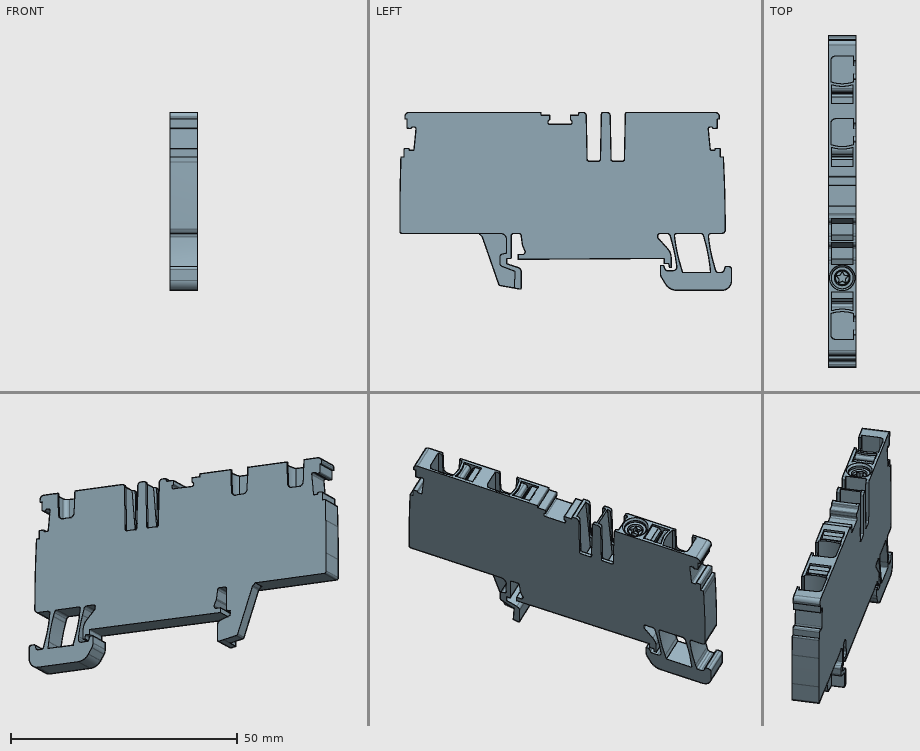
import cadquery as cq
import math


THICKNESS = 6.1
HALF_THICKNESS = THICKNESS / 2
HEIGHT = 39.4
FRONT_Y = 36.695
REAR_Y = -36.695
MID_Y = 0.8
BODY_BOTTOM = 12.58
END_FACE_RADIUS = 300
END_BEND_Z = 21.0
REAR_END_REACH = 36.1
RAIL_Z = 7.05
LEG_RADIUS = 36

SLOT_PITCH = 5.3
SLOT_COUNT = 2
SLOT_MID_Y = -6.2
SLOT_FLOOR = 28.6
SLOT_TOP_HALF = 1.66
SLOT_FLOOR_HALF = 1.44
SLOT_FLOOR_RADIUS = 0.4
SLOT_OUTER_LIP_RADIUS = 0.8
SLOT_INNER_LIP_RADIUS = 0.5
SLOT_CORE_TOP_HALF = 2.43
SLOT_CORE_FLOOR_HALF = 1.28
SLOT_CORE_DROP = 3.0
CORE_HALF_X = 2.33

TERMINAL_PITCH = 13.87
ENTRY_OUTER_Y = 32.15
ENTRY_INNER_Y = 26.42
ENTRY_BOW = 0.43
ENTRY_HALF_X = 2.54
ENTRY_CORNER = 1.1
ENTRY_DEPTH = 6.0
ENTRY_RIM = 0.57
BUTTON_INNER_Y = 21.6
BUTTON_DROP = 0.5
GAP_OUTER_Y = 31.1
GAP_INNER_Y = 27.1
GAP_DRAFT = 0.1
GAP_FLOOR_RADIUS = 1.0
GROOVE_NOSE_Y = 24.4
GROOVE_NOSE_RADIUS = 0.75
GROOVE_FLOOR_OUTER_Y = 24.1
GROOVE_FLOOR_INNER_Y = 23.8
GROOVE_KINK_Y = 23.7
GROOVE_END_Y = 23.1
GROOVE_DEPTH = 1.2
GROOVE_RAMP_DEPTH = 0.6

SCREW_Y = -16.92
SCREW_RIM_RADIUS = 2.83
SCREW_HOLE_RADIUS = 2.43
SCREW_RIM_DEPTH = 0.5
SCREW_HEAD_DEPTH = 1.0
SOCKET_RIM_RADIUS = 1.75
SOCKET_RADIUS = 1.5
SOCKET_RIM_DEPTH = 0.3
STAR_TIP_RADIUS = 1.4
STAR_ROOT_RADIUS = 0.75
STAR_POINTS = 5
STAR_DEPTH = 1.2

WEB_START_X = -0.15
WEB_OVERLAP = 0.5


def rounded_outline(corners):
    """Closed YZ wire through (y, z, radius) corners; radius 0 keeps a corner sharp."""
    stretches = []
    for i, (y, z, radius) in enumerate(corners):
        here = cq.Vector(y, z)
        to_last = (cq.Vector(*corners[i - 1][:2]) - here).normalized()
        to_next = (cq.Vector(*corners[(i + 1) % len(corners)][:2]) - here).normalized()
        if radius == 0:
            stretches.append((here, None, here))
            continue
        half_angle = to_last.getAngle(to_next) / 2
        setback = radius / math.tan(half_angle)
        bulge = radius / math.sin(half_angle) - radius
        middle = here + (to_last + to_next).normalized() * bulge
        stretches.append((here + to_last * setback, middle, here + to_next * setback))

    outline = cq.Workplane("YZ").moveTo(*stretches[0][2].toTuple()[:2])
    for start, middle, end in stretches[1:] + stretches[:1]:
        outline = outline.lineTo(*start.toTuple()[:2])
        if middle is not None:
            outline = outline.threePointArc(middle.toTuple()[:2], end.toTuple()[:2])
    return outline.close()


def extrude_between(corners, x_start, x_end):
    """Solid with a rounded YZ outline, spanning x_start to x_end."""
    return rounded_outline(corners).extrude(x_end - x_start).translate((x_start, 0, 0))


def end_corners(side, bottom_reach, bottom_radius):
    """One end of the housing from bottom to top; side is +1 for the +Y end, -1 for -Y."""
    profile = [
        (bottom_reach, BODY_BOTTOM, bottom_radius),
        (bottom_reach, END_BEND_Z, END_FACE_RADIUS),
        (35.68, 29.55, 0.1),
        (35.0, 29.55, 0),
        (35.0, 31.4, 0.25),
        (33.85, 31.4, 0.15),
        (33.75, 31.0, 0.1),
        (32.8, 31.0, 0.15),
        (32.3, 36.1, 0.35),
        (33.2, 36.1, 0.1),
        (33.45, 35.75, 0.1),
        (34.33, 35.85, 0.2),
        (34.33, 37.9, 0),
        (34.8, 37.9, 0.1),
        (34.8, HEIGHT, 1.0),
    ]
    return [(MID_Y + side * reach, z, radius) for reach, z, radius in profile]


def slot_corners(mid_y):
    """Through slot, open at the top, listed from its +Y side to its -Y side."""
    return [
        (mid_y + SLOT_TOP_HALF, HEIGHT, SLOT_OUTER_LIP_RADIUS),
        (mid_y + SLOT_FLOOR_HALF, SLOT_FLOOR, SLOT_FLOOR_RADIUS),
        (mid_y - SLOT_FLOOR_HALF, SLOT_FLOOR, SLOT_FLOOR_RADIUS),
        (mid_y - SLOT_TOP_HALF, HEIGHT, SLOT_INNER_LIP_RADIUS),
    ]


LABEL_GROOVE = [
    (5.5, HEIGHT, 0.1),
    (5.4, 38.75, 0),
    (3.5, 38.75, 0.15),
    (3.5, 37.8, 0.1),
    (3.9, 37.5, 0.1),
    (3.9, 36.76, 0.35),
    (-1.35, 36.76, 0.35),
    (-1.35, 37.5, 0.1),
    (-1.0, 37.8, 0.1),
    (-1.0, 38.75, 0.15),
    (-2.75, 38.75, 0.1),
    (-2.9, HEIGHT, 0.1),
]

SPRING_FOOT = [
    (-31.5, BODY_BOTTOM, 0.6),
    (-31.95, 8.4, LEG_RADIUS),
    (-33.3, 4.0, 0.5),
    (-34.9, 4.0, 0.7),
    (-35.25, 5.3, 0.3),
    (REAR_Y, 5.3, 0.65),
    (REAR_Y, 0, 2.2),
    (-22.9, 0, 3.0),
    (-20.9, 3.3, 2.0),
    (-20.9, 5.54, 0.1),
    (-21.65, 5.54, 0.2),
    (-22.1, 4.4, 0.5),
    (-24.65, 4.4, 0.8),
    (-24.15, 8.2, LEG_RADIUS),
    (-22.95, BODY_BOTTOM, 0.7),
    (-20.3, BODY_BOTTOM, 0.5),
    (-20.4, 11.6, 0.4),
    (-23.3, 8.4, 3.0),
    (-23.4, 5.07, 0),
    (-22.95, 5.07, 0),
    (-22.75, 5.95, 0.2),
    (-21.75, 5.95, 0.1),
    (-21.75, RAIL_Z, 0.1),
]
FIXED_HOOK = [
    (10.55, 6.85, 0),
    (10.55, 7.95, 0),
    (9.3, 7.95, 0.3),
    (8.95, 8.5, 0.2),
    (9.6, 10.0, 1.0),
    (9.95, BODY_BOTTOM, 0.5),
    (12.05, BODY_BOTTOM, 0.5),
    (12.05, 7.05, 0.2),
    (13.0, 7.05, 0.1),
    (13.0, 5.9, 0.1),
    (9.83, 4.85, 1.0),
    (9.83, 0.2, 0.3),
    (11.4, 0.5, 0),
    (11.17, 4.2, 0.1),
    (14.55, 5.5, 0.7),
    (14.55, 7.9, 0.6),
    (13.1, 8.25, 0.3),
    (13.1, BODY_BOTTOM, 1.3),
]
SPRING_WINDOW = [
    (-24.0, BODY_BOTTOM, 0.5),
    (-24.5, 8.3, LEG_RADIUS),
    (-25.87, 4.0, 0),
    (-32.02, 4.0, 0.1),
    (-31.5, 8.4, LEG_RADIUS),
    (-30.3, BODY_BOTTOM, 0.7),
]
HOOK_WEB = [
    (19.2, BODY_BOTTOM, 0),
    (18.5, 11.9, 0.5),
    (14.75, 1.1, 0.5),
    (11.4, 0.5, 0),
    (11.1, 4.6, 0),
    (13.7, 5.6, 0),
    (13.7, 7.7, 0),
    (12.6, 7.7, 0),
    (12.6, BODY_BOTTOM + WEB_OVERLAP, 0),
    (19.2, BODY_BOTTOM + WEB_OVERLAP, 0),
]


def make_housing():
    """Full-thickness plate with the complete side profile."""
    front_end = end_corners(1, FRONT_Y - MID_Y, 0.5)
    rear_end = end_corners(-1, REAR_END_REACH, 0.8)
    outline = front_end + LABEL_GROOVE
    for i in range(SLOT_COUNT):
        outline += slot_corners(SLOT_MID_Y - i * SLOT_PITCH)
    outline += rear_end[::-1] + SPRING_FOOT + FIXED_HOOK
    plate = extrude_between(outline, -HALF_THICKNESS, HALF_THICKNESS)
    window = extrude_between(SPRING_WINDOW, -HALF_THICKNESS, HALF_THICKNESS)
    web = extrude_between(HOOK_WEB, WEB_START_X, HALF_THICKNESS)
    return plate.cut(window).union(web)


def make_slot_core(mid_y):
    """Tapered core that widens a jumper slot between its side rims."""
    floor = SLOT_FLOOR - SLOT_CORE_DROP
    corners = [
        (mid_y + SLOT_CORE_TOP_HALF, HEIGHT, 0),
        (mid_y + SLOT_CORE_FLOOR_HALF, floor, 0),
        (mid_y - SLOT_CORE_FLOOR_HALF, floor, 0),
        (mid_y - SLOT_CORE_TOP_HALF, HEIGHT, 0),
    ]
    return extrude_between(corners, -CORE_HALF_X, CORE_HALF_X)


def make_entry_pocket():
    """Pocket for a wire, with a bowed inner end and one rounded corner."""
    floor = HEIGHT - ENTRY_DEPTH
    return (
        cq.Workplane("XY", origin=(0, 0, floor))
        .moveTo(ENTRY_HALF_X, ENTRY_OUTER_Y)
        .lineTo(ENTRY_HALF_X, ENTRY_INNER_Y)
        .threePointArc((0, ENTRY_INNER_Y - ENTRY_BOW), (-ENTRY_HALF_X, ENTRY_INNER_Y))
        .lineTo(-ENTRY_HALF_X, ENTRY_OUTER_Y - ENTRY_CORNER)
        .radiusArc((-ENTRY_HALF_X + ENTRY_CORNER, ENTRY_OUTER_Y), ENTRY_CORNER)
        .close()
        .extrude(ENTRY_DEPTH)
    )


def make_wall_gap():
    """Opening from the wire pocket through the +X side, rounded at the floor."""
    floor = HEIGHT - ENTRY_DEPTH
    gap_corners = [
        (GAP_OUTER_Y + GAP_DRAFT, HEIGHT, 0),
        (GAP_OUTER_Y - GAP_DRAFT, floor, GAP_FLOOR_RADIUS),
        (GAP_INNER_Y + GAP_DRAFT, floor, GAP_FLOOR_RADIUS),
        (GAP_INNER_Y - GAP_DRAFT, HEIGHT, 0),
    ]
    return extrude_between(gap_corners, 0, HALF_THICKNESS)


def make_button_recess():
    """Shallow recess over a release button, with a finger groove across it."""
    level = HEIGHT - BUTTON_DROP
    corners = [
        (ENTRY_INNER_Y, HEIGHT, 0),
        (ENTRY_INNER_Y, level, 0),
        (GROOVE_NOSE_Y, level, GROOVE_NOSE_RADIUS),
        (GROOVE_FLOOR_OUTER_Y, level - GROOVE_DEPTH, 0),
        (GROOVE_FLOOR_INNER_Y, level - GROOVE_DEPTH, 0),
        (GROOVE_KINK_Y, level - GROOVE_RAMP_DEPTH, 0),
        (GROOVE_END_Y, level, 0),
        (BUTTON_INNER_Y, level, 0),
        (BUTTON_INNER_Y, HEIGHT, 0),
    ]
    recess = extrude_between(corners, -CORE_HALF_X, CORE_HALF_X)
    return recess.cut(make_entry_pocket().translate((0, -ENTRY_RIM, 0)))


def make_terminal():
    """Everything cut for the outermost +Y terminal."""
    return make_entry_pocket().union(make_wall_gap()).union(make_button_recess())


def make_screw_recess():
    """Countersunk screw hole with a star socket in the screw head."""
    head = HEIGHT - SCREW_HEAD_DEPTH
    bottom = head - SOCKET_RIM_DEPTH
    bore = (
        cq.Workplane("XZ")
        .polyline([
            (0, HEIGHT),
            (SCREW_RIM_RADIUS, HEIGHT),
            (SCREW_HOLE_RADIUS, HEIGHT - SCREW_RIM_DEPTH),
            (SCREW_HOLE_RADIUS, head),
            (SOCKET_RIM_RADIUS, head),
            (SOCKET_RADIUS, bottom),
            (0, bottom),
        ])
        .close()
        .revolve(360, (0, 0, 0), (0, 1, 0))
    )
    star_points = []
    for i in range(2 * STAR_POINTS):
        radius = STAR_ROOT_RADIUS if i % 2 else STAR_TIP_RADIUS
        angle = math.pi / 2 + i * math.pi / STAR_POINTS
        star_points.append((radius * math.cos(angle), radius * math.sin(angle)))
    star = (
        cq.Workplane("XY", origin=(0, 0, bottom - STAR_DEPTH))
        .polyline(star_points)
        .close()
        .extrude(STAR_DEPTH)
    )
    return bore.union(star).translate((0, SCREW_Y, 0))


housing = make_housing()
for slot in range(SLOT_COUNT):
    housing = housing.cut(make_slot_core(SLOT_MID_Y - slot * SLOT_PITCH))

terminal = make_terminal()
housing = housing.cut(terminal)
housing = housing.cut(terminal.translate((0, -TERMINAL_PITCH, 0)))
housing = housing.cut(terminal.mirror("XZ", (0, MID_Y, 0)))

result = housing.cut(make_screw_recess())